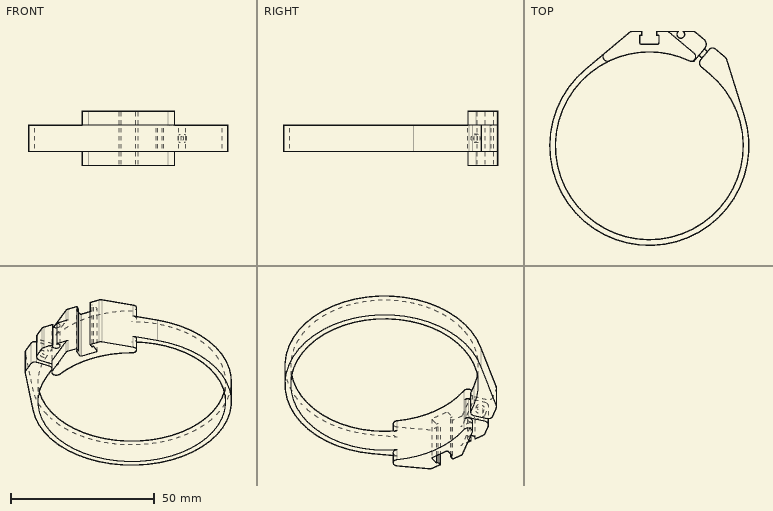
import cadquery as cq
import math

overall_x = 69.35
overall_y = 74.5
outer_radius = overall_x / 2
inner_radius = 32.6
band_height = 9.2
top_y = overall_y - outer_radius

saddle_height = 19.0
flank_angle = 40.0
tip_diameter = 3.2
tip_radius = tip_diameter / 2
corner_radius = 1.5

slot_neck_width = 5.15
slot_width = 6.55
slot_neck_depth = 1.4
slot_depth = 4.5
slot_corner_radius = 0.45

clamp_angle = 90 - flank_angle
lug_outer = 40.6
fixed_face = -7.0
free_face = -5.6
fixed_inner = 32.2
fixed_end_angle = 65.0
fixed_outer_radius = 2.2
fixed_inner_radius = 0.75
free_outer_radius = 1.5
free_inner_radius = 1.8
free_shoulder = 0.9
shoulder_radius = 2.45
free_taper_angle = 17.0

screw_diameter = 3.0
screw_offset = 36.65
screw_embed = 1.5
groove_diameter = 2.6
groove_x = 10.95
groove_depth = 1.05


def polar(radius, angle):
    """Point at a radius and an angle in degrees from +X."""
    return radius * math.cos(math.radians(angle)), radius * math.sin(math.radians(angle))


def clamp_point(along, outward):
    """Point given along the clamp line and outward from the band centre."""
    normal_x, normal_y = polar(1, clamp_angle)
    return outward * normal_x + along * normal_y, outward * normal_y - along * normal_x


def flank_x(y, distance, angle):
    """X at height y on the line whose normal has the given angle and distance."""
    normal_x, normal_y = polar(1, angle)
    return (distance - y * normal_y) / normal_x


def prism(points, height):
    return cq.Workplane("XY").polyline(points).close().extrude(height / 2, both=True)


def disc(radius, height):
    return cq.Workplane("XY").circle(radius).extrude(height / 2, both=True)


def round_edge(body, point, radius):
    """Round the vertical edge nearest to a point."""
    return body.edges(cq.selectors.NearestToPointSelector((*point, 0))).fillet(radius)


def make_band():
    ring = disc(outer_radius, band_height)
    fill = prism([
        (0, inner_radius),
        (0, top_y),
        (-flank_x(top_y, outer_radius, clamp_angle), top_y),
        polar(outer_radius, 180 - clamp_angle),
    ], band_height)
    fill = round_edge(fill, (-flank_x(top_y, outer_radius, clamp_angle), top_y), corner_radius)
    opening = prism([
        (0, 0),
        (0, overall_y),
        clamp_point(0, overall_y),
    ], band_height)
    return ring.cut(opening).union(fill).cut(disc(inner_radius, band_height))


def make_saddle():
    corner_x = flank_x(top_y, outer_radius, clamp_angle)
    tip_center_radius = inner_radius + tip_radius
    tip_swing = math.degrees(math.acos((outer_radius - tip_radius) / tip_center_radius))
    tip_angle = clamp_angle + tip_swing
    center_x, center_y = polar(tip_center_radius, tip_angle)
    normal_x, normal_y = polar(tip_radius, clamp_angle)
    flank_end = (center_x + normal_x, center_y + normal_y)
    middle_x, middle_y = polar(tip_radius, (clamp_angle + tip_angle - 180) / 2)
    tip_middle = (center_x + middle_x, center_y + middle_y)
    arc_end = polar(inner_radius, tip_angle)

    def mirrored(point):
        return -point[0], point[1]

    body = (
        cq.Workplane("XY")
        .moveTo(-corner_x, top_y)
        .lineTo(corner_x, top_y)
        .lineTo(*flank_end)
        .threePointArc(tip_middle, arc_end)
        .threePointArc((0, inner_radius), mirrored(arc_end))
        .threePointArc(mirrored(tip_middle), mirrored(flank_end))
        .close()
        .extrude(saddle_height / 2, both=True)
    )
    for side in (-1, 1):
        body = round_edge(body, (side * corner_x, top_y), corner_radius)
    return body


def make_fixed_lug():
    top_corner = (flank_x(top_y, lug_outer, clamp_angle), top_y)
    outer_corner = clamp_point(fixed_face, lug_outer)
    inner_corner = clamp_point(fixed_face, fixed_inner)
    body = prism([
        (0, inner_radius),
        (0, top_y),
        top_corner,
        outer_corner,
        inner_corner,
        polar(inner_radius, fixed_end_angle),
    ], band_height)
    body = round_edge(body, top_corner, corner_radius)
    body = round_edge(body, outer_corner, fixed_outer_radius)
    body = round_edge(body, inner_corner, fixed_inner_radius)
    return body.cut(disc(inner_radius, band_height))


def make_free_lug():
    outer_corner = clamp_point(free_face, lug_outer)
    inner_corner = clamp_point(free_face, inner_radius)
    shoulder = clamp_point(free_shoulder, lug_outer)
    body = prism([
        inner_corner,
        outer_corner,
        shoulder,
        polar(outer_radius, free_taper_angle),
        polar(inner_radius, free_taper_angle),
        polar(inner_radius, clamp_angle),
    ], band_height)
    body = round_edge(body, outer_corner, free_outer_radius)
    body = round_edge(body, inner_corner, free_inner_radius)
    body = round_edge(body, shoulder, shoulder_radius)
    return body.cut(disc(inner_radius, band_height))


def make_screw():
    start = clamp_point(fixed_face - screw_embed, screw_offset)
    direction = clamp_point(1, 0)
    length = free_face - fixed_face + 2 * screw_embed
    plane = cq.Plane(origin=(*start, 0), xDir=(0, 0, 1), normal=(*direction, 0))
    return cq.Workplane(plane).circle(screw_diameter / 2).extrude(length)


def make_slot():
    cavity_depth = slot_depth - slot_neck_depth
    neck = cq.Workplane("XY").box(slot_neck_width, 2 * slot_depth - cavity_depth, saddle_height)
    cavity = (
        cq.Workplane("XY")
        .box(slot_width, cavity_depth, saddle_height)
        .edges("|Z and <Y")
        .fillet(slot_corner_radius)
        .translate((0, -slot_neck_depth - cavity_depth / 2, 0))
    )
    return neck.union(cavity).translate((0, top_y, 0))


def make_groove():
    return disc(groove_diameter / 2, band_height).translate((groove_x, top_y - groove_depth, 0))


fixed_lug = make_fixed_lug().cut(make_groove())
result = make_band().union(fixed_lug).union(make_saddle())
result = result.union(make_free_lug()).union(make_screw()).cut(make_slot())